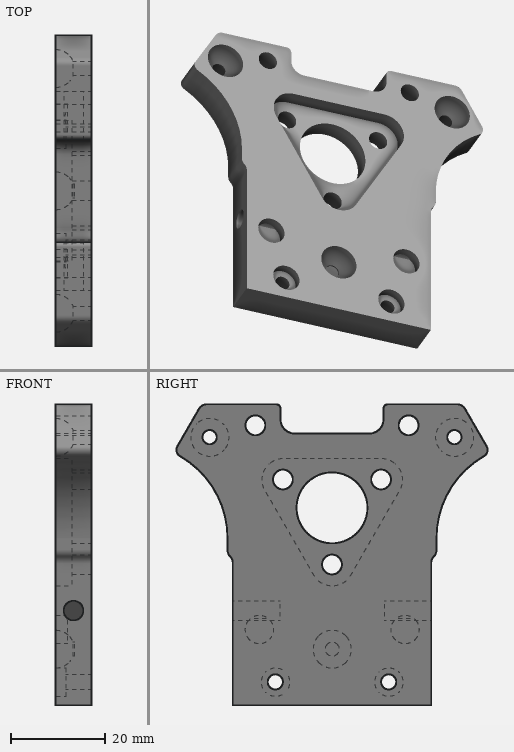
import cadquery as cq
import math

THICKNESS = 7.7
HEIGHT = 63.8
TIP_HALF_WIDTH = 33.0
BASE_HALF_WIDTH = 21.05
WAIST_HALF_WIDTH = 22.2
CENTER_X = THICKNESS / 2

STEP_TOP_Z = 32.95
STEP_RADIUS = 2.0

FLANK_ANGLE = math.radians(60)
TIP_CENTER_Z = 54.1
TIP_RADIUS = 1.5
WING_TOP_RADIUS = 2.0
WAIST_RADIUS = 20.0

NOTCH_HALF_WIDTH = 10.9
NOTCH_FLOOR_Z = 57.6
NOTCH_FLOOR_RADIUS = 3.0
NOTCH_RIM_RADIUS = 1.0

BORE_DIAMETER = 15.0
BORE_Z = 41.85
BOLT_CIRCLE_RADIUS = 12.0
BOLT_DIAMETER = 4.15
RECESS_CORNER_RADIUS = 4.5
RECESS_DEPTH = 3.5

WING_HOLE_DIAMETER = BOLT_DIAMETER
WING_HOLE_Y = 16.25
WING_HOLE_Z = 59.35

SEAT_RADIUS = 4.0
SEAT_DRILL_DIAMETER = 3.0
WING_SEAT_Y = 25.95
WING_SEAT_Z = 56.8
LOWER_SEAT_Z = 11.95
LOWER_SEAT_DRILL_DEPTH = 4.0

COUNTERBORE_DIAMETER = 6.0
COUNTERBORE_DEPTH = 2.2
SCREW_DIAMETER = 3.2
SCREW_Y = 12.0
SCREW_Z = 4.95

POCKET_DIAMETER = 6.0
POCKET_DEPTH = 2.5
POCKET_Y = 15.45
POCKET_Z = 16.1
SIDE_HOLE_DIAMETER = 4.15
SIDE_HOLE_Z = 20.05
SIDE_HOLE_DEPTH = 10.0


def mirrored(y, z):
    return [(-y, z), (y, z)]


def face_cut(points, diameter, depth):
    """Cylinders entering from the X = 0 face at (y, z) points."""
    return cq.Workplane("YZ").pushPoints(points).circle(diameter / 2).extrude(depth)


def seat_cut(points):
    """Spheres centred on the X = 0 face."""
    return cq.Workplane("YZ").pushPoints(points).sphere(SEAT_RADIUS)


def make_plate():
    cos_a, sin_a = math.cos(FLANK_ANGLE), math.sin(FLANK_ANGLE)
    tip_y = TIP_HALF_WIDTH - TIP_RADIUS + TIP_RADIUS * (sin_a + cos_a)
    tip_z = TIP_CENTER_Z + TIP_RADIUS * (cos_a - sin_a)
    wing_top_y = tip_y - (HEIGHT - tip_z) / math.tan(FLANK_ANGLE)
    waist_corner_z = tip_z - (tip_y - WAIST_HALF_WIDTH) / math.tan(FLANK_ANGLE)

    step_width = WAIST_HALF_WIDTH - BASE_HALF_WIDTH
    step_turn = math.acos(1 - step_width / 2 / STEP_RADIUS)
    step_height = 2 * STEP_RADIUS * math.sin(step_turn)
    step_bottom = (BASE_HALF_WIDTH, STEP_TOP_Z - step_height)
    step_middle = (BASE_HALF_WIDTH + step_width / 2, STEP_TOP_Z - step_height / 2)
    step_top = (WAIST_HALF_WIDTH, STEP_TOP_Z)

    half = (
        cq.Workplane("YZ")
        .lineTo(BASE_HALF_WIDTH, 0)
        .lineTo(*step_bottom)
        .tangentArcPoint(step_middle, relative=False)
        .tangentArcPoint(step_top, relative=False)
        .lineTo(WAIST_HALF_WIDTH, waist_corner_z)
        .lineTo(tip_y, tip_z)
        .lineTo(wing_top_y, HEIGHT)
        .lineTo(NOTCH_HALF_WIDTH, HEIGHT)
        .lineTo(NOTCH_HALF_WIDTH, NOTCH_FLOOR_Z)
        .lineTo(0, NOTCH_FLOOR_Z)
        .close()
        .extrude(THICKNESS)
    )
    roundings = [
        (WAIST_HALF_WIDTH, waist_corner_z, WAIST_RADIUS),
        (tip_y, tip_z, TIP_RADIUS),
        (wing_top_y, HEIGHT, WING_TOP_RADIUS),
        (NOTCH_HALF_WIDTH, HEIGHT, NOTCH_RIM_RADIUS),
        (NOTCH_HALF_WIDTH, NOTCH_FLOOR_Z, NOTCH_FLOOR_RADIUS),
    ]
    for y, z, radius in roundings:
        corner = cq.selectors.NearestToPointSelector((CENTER_X, y, z))
        half = half.edges("|X").edges(corner).fillet(radius)
    return half.union(half.mirror("XZ")).clean()


def cut_recess(body):
    bolts = []
    for degrees in (30, 150, 270):
        angle = math.radians(degrees)
        bolt_y = BOLT_CIRCLE_RADIUS * math.cos(angle)
        bolt_z = BORE_Z + BOLT_CIRCLE_RADIUS * math.sin(angle)
        bolts.append((bolt_y, bolt_z))
    recess = (
        cq.Workplane("YZ")
        .polyline(bolts)
        .close()
        .offset2D(RECESS_CORNER_RADIUS, "arc")
        .extrude(RECESS_DEPTH)
    )
    bore = face_cut([(0, BORE_Z)], BORE_DIAMETER, THICKNESS)
    return body.cut(recess).cut(bore).cut(face_cut(bolts, BOLT_DIAMETER, THICKNESS))


def cut_seats(body):
    wing_seats = mirrored(WING_SEAT_Y, WING_SEAT_Z)
    lower_seat = [(0, LOWER_SEAT_Z)]
    body = body.cut(seat_cut(wing_seats + lower_seat))
    body = body.cut(face_cut(wing_seats, SEAT_DRILL_DIAMETER, THICKNESS))
    return body.cut(face_cut(lower_seat, SEAT_DRILL_DIAMETER, LOWER_SEAT_DRILL_DEPTH))


def cut_screw_holes(body):
    screws = mirrored(SCREW_Y, SCREW_Z)
    body = body.cut(face_cut(screws, COUNTERBORE_DIAMETER, COUNTERBORE_DEPTH))
    body = body.cut(face_cut(screws, SCREW_DIAMETER, THICKNESS))
    return body.cut(face_cut(mirrored(WING_HOLE_Y, WING_HOLE_Z), WING_HOLE_DIAMETER, THICKNESS))


def cut_pockets_and_side_holes(body):
    body = body.cut(face_cut(mirrored(POCKET_Y, POCKET_Z), POCKET_DIAMETER, POCKET_DEPTH))
    side_hole = (
        cq.Workplane("XZ", origin=(0, -BASE_HALF_WIDTH, 0))
        .center(CENTER_X, SIDE_HOLE_Z)
        .circle(SIDE_HOLE_DIAMETER / 2)
        .extrude(-SIDE_HOLE_DEPTH)
    )
    return body.cut(side_hole).cut(side_hole.mirror("XZ"))


plate = make_plate()
plate = cut_recess(plate)
plate = cut_seats(plate)
plate = cut_screw_holes(plate)
result = cut_pockets_and_side_holes(plate)